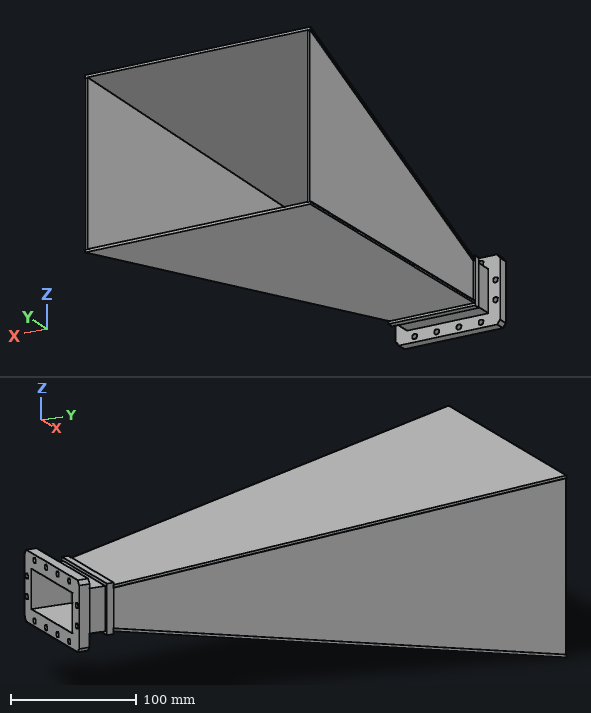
import cadquery as cq

length = 408.5
aperture_width = 208.5
aperture_height = 153.0

bore_width = 72.5
bore_height = 34.0
tube_width = 75.0
tube_height = 38.0

flange_width = 97.0
flange_height = 60.5
flange_thickness = 9.5
flange_corner_width = 3.0
flange_corner_height = 3.5

hole_diameter = 4.5
row_hole_pitch = 20.5
row_hole_count = 4
row_spacing = 50.5
column_hole_pitch = 17.0
column_hole_count = 2
column_spacing = 88.3

collar_width = 80.0
collar_height = 43.5
collar_length = 6.0
collar_start = 29.0

horn_wall = 2.5
plate_overhang = 0.6
throat_width = 78.5
throat_height = bore_height + 2 * horn_wall

front_y = -length / 2
collar_y = front_y + collar_start
throat_y = collar_y + collar_length
aperture_y = length / 2


def section_plane(y):
    """Plane across the axis at y, with its normal along +Y."""
    return cq.Workplane(cq.Plane(origin=(0, y, 0), xDir=(1, 0, 0), normal=(0, 1, 0)))


def block(width, height, y_start, y_end):
    """Rectangular bar centred on the axis."""
    return section_plane(y_start).rect(width, height).extrude(y_end - y_start)


def pyramid(start_width, start_height, end_width, end_height):
    """Four-sided taper from the throat to the aperture."""
    return (
        section_plane(throat_y)
        .rect(start_width, start_height)
        .workplane(offset=aperture_y - throat_y)
        .rect(end_width, end_height)
        .loft(ruled=True)
    )


def make_flange():
    """Plate with clipped corners and a ring of through bolt holes."""
    half_width = flange_width / 2
    half_height = flange_height / 2
    flat_x = half_width - flange_corner_width
    flat_z = half_height - flange_corner_height
    outline = [
        (flat_x, half_height),
        (half_width, flat_z),
        (half_width, -flat_z),
        (flat_x, -half_height),
        (-flat_x, -half_height),
        (-half_width, -flat_z),
        (-half_width, flat_z),
        (-flat_x, half_height),
    ]
    plate = section_plane(front_y).polyline(outline).close().extrude(flange_thickness)
    holes = (
        section_plane(front_y)
        .rarray(row_hole_pitch, row_spacing, row_hole_count, 2)
        .circle(hole_diameter / 2)
        .extrude(flange_thickness)
    )
    side_holes = (
        section_plane(front_y)
        .rarray(column_spacing, column_hole_pitch, 2, column_hole_count)
        .circle(hole_diameter / 2)
        .extrude(flange_thickness)
    )
    return plate.cut(holes).cut(side_holes)


def make_horn_shell():
    """Solid taper whose top and bottom plates overhang the recessed side plates."""
    envelope = pyramid(throat_width, throat_height, aperture_width, aperture_height)
    between_plates = pyramid(
        throat_width,
        throat_height - 2 * horn_wall,
        aperture_width,
        aperture_height - 2 * horn_wall,
    )
    side_plate_core = pyramid(
        throat_width - 2 * plate_overhang,
        throat_height,
        aperture_width - 2 * plate_overhang,
        aperture_height,
    )
    return envelope.cut(between_plates.cut(side_plate_core))


flange = make_flange()
tube = block(tube_width, tube_height, front_y, throat_y)
collar = block(collar_width, collar_height, collar_y, throat_y)
horn = make_horn_shell()
bore = block(bore_width, bore_height, front_y, throat_y)
horn_cavity = pyramid(
    bore_width,
    bore_height,
    aperture_width - 2 * horn_wall,
    aperture_height - 2 * horn_wall,
)

result = flange.union(tube).union(collar).union(horn).cut(bore).cut(horn_cavity)